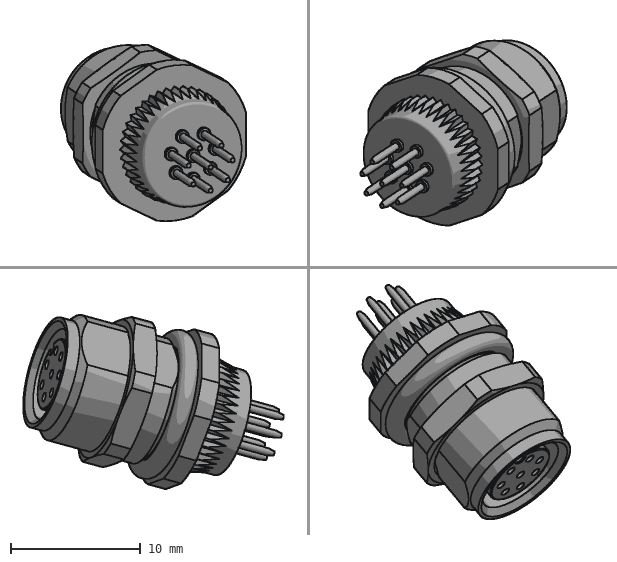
import cadquery as cq
import math


nose_end_x = 1.0
nut_front_x, nut_back_x = 5.0, 7.0
body_chamfer_x = 8.71
flange_front_x, flange_back_x = 10.5, 12.0
knurl_bevel_x = 12.93
collar_front_x, collar_back_x = 14.5, 15.5
pin_base_end_x = 15.8
pin_taper_x = 18.6
overall_length = 19.1

nose_radius = 8.8 / 2
body_radius = 5.0
body_half_flats = 4.5

nut_half_flats = 5.5
nut_corner_radius = 6.0
nut_front_chamfer = 0.17
nut_back_chamfer = 0.13
nut_bore_radius = 4.65
nut_bore_mouth_radius = 4.93

flange_half_flats = 6.0
flange_corner_radius = 6.25

seal_section_radius = 0.75
seal_outer_radius = 5.92

tooth_count = 40
tooth_ridge_radius = 4.56
tooth_valley_radius = 4.22
collar_radius = 8.4 / 2
collar_fillet = 0.23

bore_radius = 7.2 / 2
bore_chamfer = 0.5
bore_depth = 4.01
insert_face_x = 0.5
insert_radius = 2.83
insert_chamfer = 0.1
key_width = 0.78
key_center_z = 2.5
inner_seal_inner_radius = 2.86
inner_seal_height = 0.3

contact_circle_radius = 1.87
contact_pitch = 50.4
contact_hole_diameter = 0.7
contact_hole_depth = 1.91
pin_base_diameter = 1.0
pin_diameter = 0.6
pin_tip_diameter = 0.36

full_turn = 360
x_axis = ((0, 0, 0), (1, 0, 0))


def revolved(profile):
    """Turn a closed (x, radius) outline about the X axis."""
    return cq.Workplane("XY").polyline(profile).close().revolve(full_turn, *x_axis)


def rod(x_start, x_end, radius, centers=((0, 0),)):
    """Cylinders along X at the given (y, z) centers."""
    plane = cq.Workplane("YZ", origin=(x_start, 0, 0))
    return plane.pushPoints(centers).circle(radius).extrude(x_end - x_start)


def ring(x_center, center_radius, section_radius):
    """Torus around the X axis."""
    section = cq.Workplane("XY").center(x_center, center_radius).circle(section_radius)
    return section.revolve(full_turn, (-x_center, -center_radius), (0.2 - x_center, -center_radius))


def hexagon(x_start, x_end, half_flats):
    """Hexagonal prism along X with corners up and down and flats facing +Y and -Y."""
    corner_distance = half_flats / math.cos(math.pi / 6)
    corners = []
    for i in range(6):
        angle = math.pi / 2 + i * math.pi / 3
        corners.append((corner_distance * math.cos(angle), corner_distance * math.sin(angle)))
    plane = cq.Workplane("YZ", origin=(x_start, 0, 0))
    return plane.polyline(corners).close().extrude(x_end - x_start)


def make_body():
    """Barrel with chamfered ends and side flats, then a neck running into the flange."""
    rise = body_radius - nose_radius
    barrel = revolved([
        (0, 0),
        (0, nose_radius),
        (nose_end_x, nose_radius),
        (nose_end_x + rise, body_radius),
        (body_chamfer_x, body_radius),
        (body_chamfer_x + body_radius - body_half_flats, body_half_flats),
        (flange_front_x, body_half_flats),
        (flange_front_x, 0),
    ])
    flats = cq.Workplane("XY").box(2 * flange_front_x, 2 * body_half_flats, 2 * body_radius)
    return barrel.intersect(flats)


def make_nut():
    """Lock nut, chamfered outside and around both mouths of its bore."""
    envelope = revolved([
        (nut_front_x, 0),
        (nut_front_x, nut_half_flats),
        (nut_front_x + nut_front_chamfer, nut_corner_radius),
        (nut_back_x - nut_back_chamfer, nut_corner_radius),
        (nut_back_x, nut_half_flats),
        (nut_back_x, 0),
    ])
    mouth = nut_bore_mouth_radius - nut_bore_radius
    bore = revolved([
        (nut_front_x, 0),
        (nut_front_x, nut_bore_mouth_radius),
        (nut_front_x + mouth, nut_bore_radius),
        (nut_back_x - mouth, nut_bore_radius),
        (nut_back_x, nut_bore_mouth_radius),
        (nut_back_x, 0),
    ])
    return hexagon(nut_front_x, nut_back_x, nut_half_flats).intersect(envelope).cut(bore)


def make_flange():
    """Hexagonal stop flange with rounded corners."""
    envelope = rod(flange_front_x, flange_back_x, flange_corner_radius)
    return hexagon(flange_front_x, flange_back_x, flange_half_flats).intersect(envelope)


def make_knurl():
    """Straight triangular teeth, bevelled by a cone that runs down to the collar."""
    outline = []
    for i in range(2 * tooth_count):
        radius = tooth_ridge_radius if i % 2 == 0 else tooth_valley_radius
        angle = math.pi * i / tooth_count
        outline.append((radius * math.cos(angle), radius * math.sin(angle)))
    plane = cq.Workplane("YZ", origin=(flange_back_x, 0, 0))
    teeth = plane.polyline(outline).close().extrude(collar_front_x - flange_back_x)
    slope = (tooth_ridge_radius - collar_radius) / (collar_front_x - knurl_bevel_x)
    cone_start_radius = collar_radius + slope * (collar_front_x - flange_back_x)
    cone = revolved([
        (flange_back_x, 0),
        (flange_back_x, cone_start_radius),
        (collar_front_x, collar_radius),
        (collar_front_x, 0),
    ])
    return teeth.intersect(cone)


def make_collar():
    """Plain rear collar with a rounded rim."""
    return rod(collar_front_x, collar_back_x, collar_radius).faces(">X").edges().fillet(collar_fillet)


def make_socket_bore():
    """Space removed for the socket, widening at its mouth."""
    return revolved([
        (0, 0),
        (0, bore_radius + bore_chamfer),
        (bore_chamfer, bore_radius),
        (bore_depth, bore_radius),
        (bore_depth, 0),
    ])


def make_insert(contacts):
    """Contact carrier standing in the bore, with a key slot at the top and blind contact holes."""
    carrier = rod(insert_face_x, bore_depth, insert_radius)
    slot_height = insert_radius
    slot = rod(insert_face_x, bore_depth, key_width / 2, [(0, key_center_z)])
    slot_top = (
        cq.Workplane("YZ", origin=(insert_face_x, 0, 0))
        .center(0, key_center_z + slot_height / 2)
        .rect(key_width, slot_height)
        .extrude(bore_depth - insert_face_x)
    )
    carrier = carrier.cut(slot.union(slot_top)).faces("<X").edges().chamfer(insert_chamfer)
    holes = rod(insert_face_x, insert_face_x + contact_hole_depth, contact_hole_diameter / 2, contacts)
    return carrier.cut(holes)


def make_pins(contacts):
    """Solder pins with a round base and a tapered tip at every contact."""
    pins = rod(collar_back_x, pin_base_end_x, pin_base_diameter / 2, contacts)
    pins = pins.union(rod(pin_base_end_x, pin_taper_x, pin_diameter / 2, contacts))
    tip = revolved([
        (pin_taper_x, 0),
        (pin_taper_x, pin_diameter / 2),
        (overall_length, pin_tip_diameter / 2),
        (overall_length, 0),
    ])
    for y, z in contacts:
        pins = pins.union(tip.translate((0, y, z)))
    return pins


contact_positions = [(0, 0)]
for step in range(-3, 4):
    turn = math.radians(step * contact_pitch)
    contact_positions.append(
        (contact_circle_radius * math.sin(turn), -contact_circle_radius * math.cos(turn))
    )

outer_seal = ring(
    flange_front_x - seal_section_radius,
    seal_outer_radius - seal_section_radius,
    seal_section_radius,
)
inner_seal = ring(
    bore_depth - inner_seal_height,
    (bore_radius + inner_seal_inner_radius) / 2,
    (bore_radius - inner_seal_inner_radius) / 2,
)

result = (
    make_body()
    .union(make_nut())
    .union(make_flange())
    .union(outer_seal)
    .union(make_knurl())
    .union(make_collar())
    .cut(make_socket_bore())
    .union(inner_seal)
    .union(make_insert(contact_positions))
    .union(make_pins(contact_positions))
)